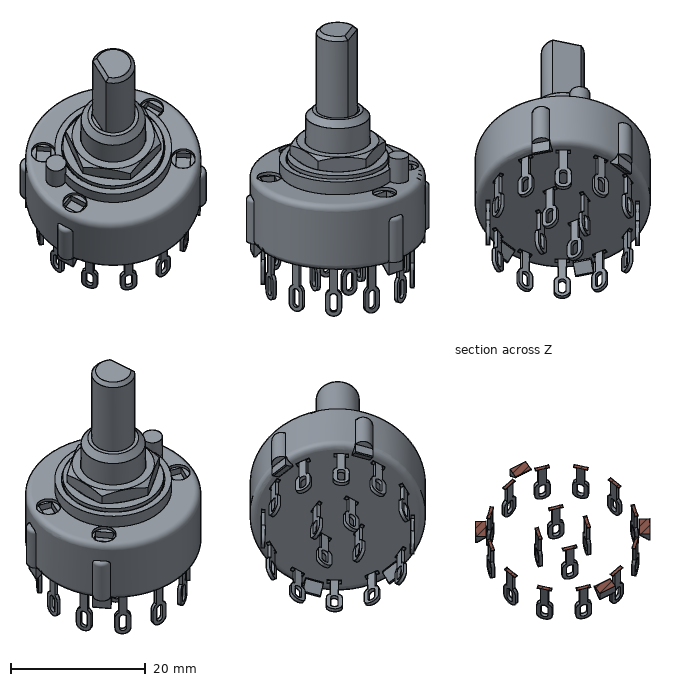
import cadquery as cq
import math

BODY_BOTTOM = 8.0
BODY_TOP = 18.5
RING_TOP = 20.6
WASHER_TOP = 21.1
NUT_TOP = 23.5
BUSHING_TOP = 28.5
SHAFT_TOP = 41.5

BODY_D = 26.0
BODY_FILLET = 1.0
RING_D = 17.3

WASHER_D = 15.0
RECESS_D = 15.3
RECESS_DEPTH = 0.25

NUT_FLATS = 12.35
NUT_CORNERS = NUT_FLATS / math.cos(math.pi / 6)
NUT_TURN = -6.0
NUT_BORE_D = 9.75
NUT_FACE_D = 12.2
NUT_BEVEL_DROP = 0.5

BUSHING_D = 9.5
BUSHING_CHAMFER = 1.0
SHAFT_D = 6.4
SHAFT_CHAMFER = 0.6
SHAFT_FLAT_Y = -2.32
SHAFT_FLAT_START = BUSHING_TOP - 1.0

PIN_D = 3.0
PIN_Y = -9.5
PIN_TOP = 22.45

HOOK_ANGLES = (60, 120, 240, 300)
HOOK_WIDTH = 2.75
HOOK_FACE_R = 12.95
HOOK_BOTTOM = 6.35
HOOK_TOP = 8.42
HOOK_TIP = 0.25
HOOK_SLOPE = 1.35
RIB_D = 2.9
RIB_CENTER_R = 12.35
RIB_TOP = 15.52
RIB_FILLET = 0.55
PIT_D = 3.55
PIT_CENTER_R = 10.38
PIT_DEPTH = 0.5
POCKET_LENGTH = 2.1
POCKET_DEPTH = 1.6

OUTER_COUNT = 12
OUTER_R = 11.1
INNER_COUNT = 4
INNER_R = 3.75
TERMINAL_THICKNESS = 0.55
STEM_WIDTH = 1.2
SHOULDER_WIDTH = 2.15
SHOULDER_BOTTOM = BODY_BOTTOM - 0.15
EYE_WIDTH = 2.4
EYE_HEIGHT = 4.3
EYE_WALL = 0.65

OVERLAP = 0.4


def cylinder(diameter, bottom, top):
    """Cylinder about the Z axis between two levels."""
    return cq.Workplane("XY").workplane(offset=bottom).circle(diameter / 2).extrude(top - bottom)


def place(feature, angle):
    """Turn a feature drawn on the +X side to its angle about Z."""
    return feature.rotate((0, 0, 0), (0, 0, 1), angle)


def make_body():
    body = cylinder(BODY_D, BODY_BOTTOM, BODY_TOP).faces("|Z").edges().fillet(BODY_FILLET)
    ring = cylinder(RING_D, BODY_TOP - OVERLAP, RING_TOP)
    recess = cylinder(RECESS_D, RING_TOP - RECESS_DEPTH, RING_TOP)
    washer = cylinder(WASHER_D, RING_TOP - RECESS_DEPTH, WASHER_TOP)
    return body.union(ring.cut(recess)).union(washer)


def make_nut():
    height = NUT_TOP - WASHER_TOP
    hexagon = cq.Workplane("XY").workplane(offset=WASHER_TOP).polygon(6, NUT_CORNERS).extrude(height)
    face_r = NUT_FACE_D / 2
    corner_r = NUT_CORNERS / 2
    bevel = (
        cq.Workplane("XZ")
        .moveTo(0, WASHER_TOP)
        .lineTo(face_r, WASHER_TOP)
        .lineTo(corner_r, WASHER_TOP + NUT_BEVEL_DROP)
        .lineTo(corner_r, NUT_TOP - NUT_BEVEL_DROP)
        .lineTo(face_r, NUT_TOP)
        .lineTo(0, NUT_TOP)
        .close()
        .revolve(360, (0, 0), (0, 1))
    )
    bore = cylinder(NUT_BORE_D, WASHER_TOP, NUT_TOP)
    return place(hexagon.intersect(bevel).cut(bore), NUT_TURN)


def make_bushing():
    bushing = cylinder(BUSHING_D, WASHER_TOP - OVERLAP, BUSHING_TOP)
    bushing = bushing.faces(">Z").edges().chamfer(BUSHING_CHAMFER)
    return bushing.cut(cylinder(SHAFT_D, SHAFT_FLAT_START, BUSHING_TOP))


def make_shaft():
    shaft = cylinder(SHAFT_D, SHAFT_FLAT_START - OVERLAP, SHAFT_TOP)
    flat_depth = SHAFT_D / 2 + SHAFT_FLAT_Y
    flat = (
        cq.Workplane("XY")
        .workplane(offset=SHAFT_FLAT_START)
        .center(0, SHAFT_FLAT_Y - flat_depth / 2)
        .rect(SHAFT_D, flat_depth)
        .extrude(SHAFT_TOP - SHAFT_FLAT_START)
    )
    return shaft.cut(flat).faces(">Z").edges().chamfer(SHAFT_CHAMFER)


def make_pin():
    return cylinder(PIN_D, BODY_TOP - OVERLAP, PIN_TOP).translate((0, PIN_Y, 0))


def make_hook():
    """Wedge hook: upright outer face, inner side sloping out to the tip at 45 degrees."""
    tip_r = HOOK_FACE_R - HOOK_TIP
    inner_r = tip_r - HOOK_SLOPE
    return (
        cq.Workplane("XZ")
        .moveTo(HOOK_FACE_R, HOOK_TOP)
        .lineTo(HOOK_FACE_R, HOOK_BOTTOM)
        .lineTo(tip_r, HOOK_BOTTOM)
        .lineTo(inner_r, HOOK_BOTTOM + HOOK_SLOPE)
        .lineTo(inner_r, HOOK_TOP)
        .close()
        .extrude(HOOK_WIDTH / 2, both=True)
    )


def make_rib():
    rib = cylinder(RIB_D, HOOK_TOP, RIB_TOP).faces(">Z").edges().fillet(RIB_FILLET)
    return rib.translate((RIB_CENTER_R, 0, 0))


def make_pit():
    """Round pit with a rectangular pocket in its floor."""
    pit = cylinder(PIT_D, BODY_TOP - PIT_DEPTH, BODY_TOP)
    pocket = (
        cq.Workplane("XY")
        .workplane(offset=BODY_TOP - POCKET_DEPTH)
        .rect(POCKET_LENGTH, HOOK_WIDTH)
        .extrude(POCKET_DEPTH)
    )
    return pit.union(pocket).translate((PIT_CENTER_R, 0, 0))


def terminal_plate(width, bottom, top):
    """Flat strip of terminal stock, standing across the X axis."""
    height = top - bottom
    strip = cq.Workplane("XY").box(TERMINAL_THICKNESS, width, height)
    return strip.translate((0, 0, bottom + height / 2))


def make_terminal():
    eye_plane = cq.Workplane("YZ", origin=(0, 0, EYE_HEIGHT / 2))
    half_thickness = TERMINAL_THICKNESS / 2
    eye = eye_plane.slot2D(EYE_HEIGHT, EYE_WIDTH, 90).extrude(half_thickness, both=True)
    opening = (
        eye_plane.slot2D(EYE_HEIGHT - 2 * EYE_WALL, EYE_WIDTH - 2 * EYE_WALL, 90)
        .extrude(half_thickness, both=True)
    )
    stem = terminal_plate(STEM_WIDTH, EYE_HEIGHT - EYE_WALL / 2, BODY_BOTTOM)
    shoulder = terminal_plate(SHOULDER_WIDTH, SHOULDER_BOTTOM, BODY_BOTTOM + OVERLAP)
    return eye.cut(opening).union(stem).union(shoulder)


def terminal_circle(count, radius):
    """Terminals evenly spaced about Z, the first half a step from +X."""
    step = 360 / count
    terminal = make_terminal().translate((radius, 0, 0))
    return [place(terminal, (index + 0.5) * step) for index in range(count)]


result = make_body()
for upper_part in (make_nut(), make_bushing(), make_shaft(), make_pin()):
    result = result.union(upper_part)

for angle in HOOK_ANGLES:
    result = result.union(place(make_rib(), angle))
    result = result.union(place(make_hook(), angle))
    result = result.cut(place(make_pit(), angle))

for terminal in terminal_circle(OUTER_COUNT, OUTER_R) + terminal_circle(INNER_COUNT, INNER_R):
    result = result.union(terminal)